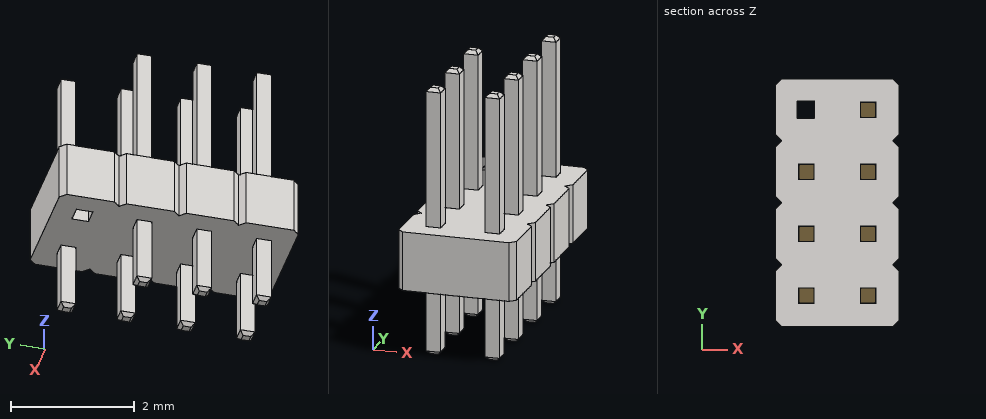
import cadquery as cq

PITCH = 1.0
COLUMNS = 2
ROWS = 4
BODY_HEIGHT = 1.0
CORNER_CUT = 0.1

PIN_WIDTH = 0.25
PIN_ABOVE = 2.36
PIN_BELOW = 1.18
TIP_LENGTH = 0.06
TIP_WIDTH = 0.13

OPEN_POSITION = (0, ROWS - 1)
OPEN_HOLE_WIDTH = 0.275
OPEN_HOLE_SHIFT = 0.005


def grid_center(column, row):
    """XY centre of a grid cell, with the whole grid centred on the origin."""
    x = (column - (COLUMNS - 1) / 2) * PITCH
    y = (row - (ROWS - 1) / 2) * PITCH
    return x, y


def make_row_block(row):
    """Block for one row of pins, with its vertical corners cut."""
    return (
        cq.Workplane("XY", origin=(0, grid_center(0, row)[1], 0))
        .rect(COLUMNS * PITCH, PITCH)
        .extrude(BODY_HEIGHT)
        .edges("|Z")
        .chamfer(CORNER_CUT)
    )


def make_body():
    """Row blocks joined end to end; their corner cuts leave V notches between rows."""
    body = make_row_block(0)
    for row in range(1, ROWS):
        body = body.union(make_row_block(row))
    return body.clean()


def make_tip(x, y, z, direction):
    """Square pyramid frustum that narrows away from the pin shank."""
    return (
        cq.Workplane("XY", origin=(x, y, z))
        .rect(PIN_WIDTH, PIN_WIDTH)
        .workplane(offset=direction * TIP_LENGTH)
        .rect(TIP_WIDTH, TIP_WIDTH)
        .loft(ruled=True)
    )


def make_pin(x, y):
    """Pin that runs through the body, with a tapered tip at each end."""
    shank_bottom = TIP_LENGTH - PIN_BELOW
    shank_top = BODY_HEIGHT + PIN_ABOVE - TIP_LENGTH
    shank = (
        cq.Workplane("XY", origin=(x, y, shank_bottom))
        .rect(PIN_WIDTH, PIN_WIDTH)
        .extrude(shank_top - shank_bottom)
    )
    return shank.union(make_tip(x, y, shank_top, 1)).union(make_tip(x, y, shank_bottom, -1))


def cut_open_hole(body):
    """Square through hole at the position without a pin."""
    x, y = grid_center(*OPEN_POSITION)
    hole = (
        cq.Workplane("XY")
        .center(x - OPEN_HOLE_SHIFT, y + OPEN_HOLE_SHIFT)
        .rect(OPEN_HOLE_WIDTH, OPEN_HOLE_WIDTH)
        .extrude(BODY_HEIGHT)
    )
    return body.cut(hole)


result = cut_open_hole(make_body())
for column in range(COLUMNS):
    for row in range(ROWS):
        if (column, row) != OPEN_POSITION:
            result = result.union(make_pin(*grid_center(column, row)))